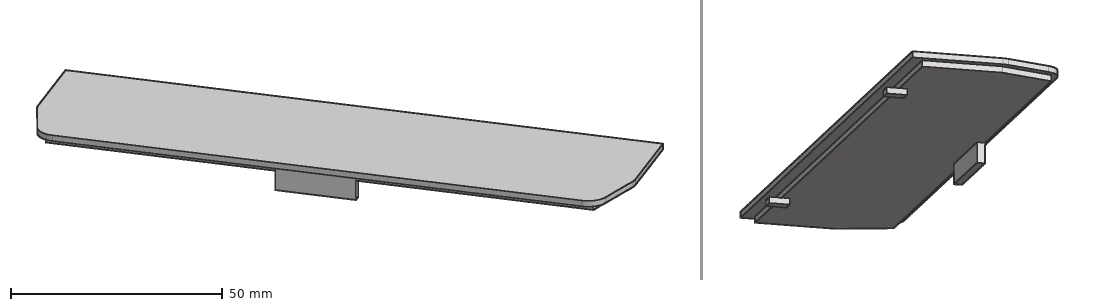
import cadquery as cq
import math

plate_width = 148.0
plate_depth = 37.91
plate_thickness = 1.5
taper_length = 15.0
side_length = plate_depth - taper_length
taper_width = 4.7
corner_radius = 5.0

step_thickness = 1.5
step_inset = 2.0
step_back_inset = 3.0

tab_width = 3.0
tab_length = 5.0
tab_thickness = 1.5
tab_center_x = 50.5

grip_width = 20.0
grip_thickness = 2.0
grip_center_x = -1.0
total_height = 8.0

step_bottom = -(plate_thickness + step_thickness)


def tapered_outline(half_width, back_y, side_end_y, front_half_width, front_y):
    """Closed outline with straight sides that taper in towards the front."""
    return [
        (-half_width, back_y),
        (-half_width, side_end_y),
        (-front_half_width, front_y),
        (front_half_width, front_y),
        (half_width, side_end_y),
        (half_width, back_y),
    ]


def box_below(top_z, center_x, width, back_y, length, height):
    """Box hanging from top_z and running forward from back_y."""
    return (
        cq.Workplane("XY", origin=(center_x, back_y - length / 2, top_z))
        .rect(width, length)
        .extrude(-height)
    )


def make_plate():
    half_width = plate_width / 2
    outline = tapered_outline(
        half_width, 0, -side_length, half_width - taper_width, -plate_depth
    )
    plate = cq.Workplane("XY").polyline(outline).close().extrude(-plate_thickness)
    return plate.edges("|Z and (not >Y)").fillet(corner_radius)


def make_step():
    taper_angle = math.atan2(taper_width, taper_length)
    side_shift = step_inset * math.tan(taper_angle / 2)
    front_shift = step_inset * math.tan((math.pi / 2 - taper_angle) / 2)
    outline = tapered_outline(
        plate_width / 2 - step_inset,
        -step_back_inset,
        -side_length + side_shift,
        plate_width / 2 - taper_width - front_shift,
        -plate_depth + step_inset,
    )
    return (
        cq.Workplane("XY", origin=(0, 0, -plate_thickness))
        .polyline(outline)
        .close()
        .extrude(-step_thickness)
    )


def make_tab(center_x):
    return box_below(step_bottom, center_x, tab_width, 0, tab_length, tab_thickness)


def make_grip():
    back_y = -plate_depth + step_inset + grip_thickness
    height = total_height + step_bottom
    return box_below(step_bottom, grip_center_x, grip_width, back_y, grip_thickness, height)


result = make_plate().union(make_step()).union(make_grip())
for side in (-1, 1):
    result = result.union(make_tab(side * tab_center_x))